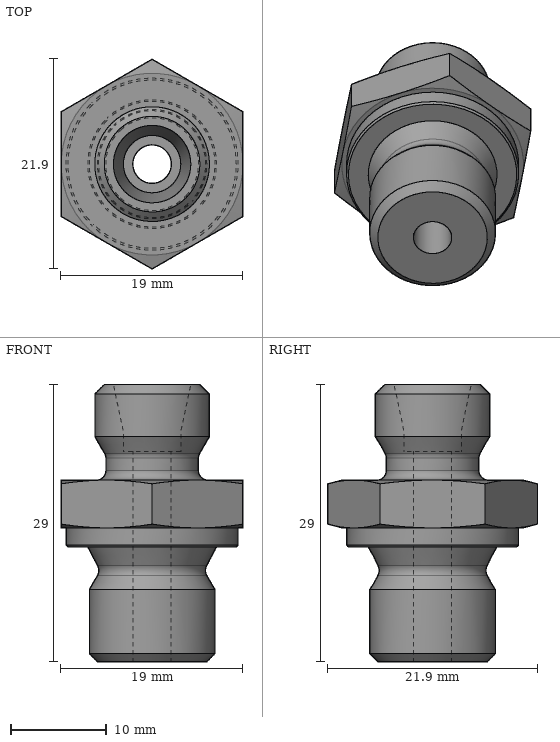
import cadquery as cq
import math

total_height = 29.0
hex_thickness = 5.0
hex_bottom = 14.0
hex_top = hex_bottom + hex_thickness
collar_thickness = 2.0
collar_bottom = hex_bottom - collar_thickness

hex_sides = 6
hex_turn = 180 / hex_sides
across_flats = 19.0
across_corners = across_flats / math.cos(math.radians(hex_turn))
hex_chamfer_angle = math.radians(15)
hex_chamfer_drop = (across_corners - across_flats) / 2 * math.tan(hex_chamfer_angle)

collar_radius = 18.0 / 2
collar_edge_chamfer = 0.2

undercut_angle = math.radians(30)
undercut_slope = math.tan(undercut_angle)

blend_radius = 1.0
blend_height = blend_radius * math.sin(undercut_angle)
blend_rise = blend_radius * (1 - math.cos(undercut_angle))
half_blend_height = blend_radius * math.sin(undercut_angle / 2)
half_blend_rise = blend_radius * (1 - math.cos(undercut_angle / 2))

upper_radius = 12.0 / 2
upper_chamfer = 1.0
upper_neck_radius = 9.7 / 2
upper_thread_end = 23.55

lower_radius = 13.16 / 2
lower_chamfer = 0.86
lower_thread_end = 7.55

lower_arc_radius = 1.1
lower_arc_start = 9.0
collar_cone_angle = math.radians(27.5)

bore_radius = 4.0 / 2
socket_radius = 6.0 / 2
socket_depth = 7.0
seat_mouth_radius = 8.1 / 2
seat_half_angle = math.radians(12)
seat_depth = (seat_mouth_radius - socket_radius) / math.tan(seat_half_angle)


def turned(profile):
    """Revolve a closed half profile in the XZ plane a full turn about Z."""
    return profile.revolve(360, (0, 0, 0), (0, 1, 0))


def lower_stud_and_collar():
    """Revolve the lower stud, its undercut and the collar."""
    arc_start_radius = lower_radius - (lower_arc_start - lower_thread_end) * undercut_slope
    neck_radius = arc_start_radius - lower_arc_radius * (1 - math.cos(undercut_angle))
    neck_height = lower_arc_start + lower_arc_radius * math.sin(undercut_angle)
    arc_end_radius = neck_radius + lower_arc_radius * (1 - math.cos(collar_cone_angle))
    arc_end = neck_height + lower_arc_radius * math.sin(collar_cone_angle)
    cone_top_radius = arc_end_radius + (collar_bottom - arc_end) * math.tan(collar_cone_angle)
    profile = (
        cq.Workplane("XZ")
        .moveTo(0, 0)
        .lineTo(lower_radius - lower_chamfer, 0)
        .lineTo(lower_radius, lower_chamfer)
        .lineTo(lower_radius, lower_thread_end)
        .lineTo(arc_start_radius, lower_arc_start)
        .threePointArc((neck_radius, neck_height), (arc_end_radius, arc_end))
        .lineTo(cone_top_radius, collar_bottom)
        .lineTo(collar_radius - collar_edge_chamfer, collar_bottom)
        .lineTo(collar_radius, collar_bottom + collar_edge_chamfer)
        .lineTo(collar_radius, hex_bottom)
        .lineTo(0, hex_bottom)
        .close()
    )
    return turned(profile)


def upper_stud():
    """Revolve the upper stud, its undercut and the root fillet on the hexagon."""
    blend_edge_radius = upper_neck_radius + blend_rise
    blend_top = upper_thread_end - (upper_radius - blend_edge_radius) / undercut_slope
    blend_bottom = blend_top - blend_height
    blend_middle = (upper_neck_radius + half_blend_rise, blend_bottom + half_blend_height)
    fillet_offset = blend_radius * (1 - math.sqrt(0.5))
    fillet_middle = (upper_neck_radius + fillet_offset, hex_top + fillet_offset)
    profile = (
        cq.Workplane("XZ")
        .moveTo(0, hex_top)
        .lineTo(upper_neck_radius + blend_radius, hex_top)
        .threePointArc(fillet_middle, (upper_neck_radius, hex_top + blend_radius))
        .lineTo(upper_neck_radius, blend_bottom)
        .threePointArc(blend_middle, (blend_edge_radius, blend_top))
        .lineTo(upper_radius, upper_thread_end)
        .lineTo(upper_radius, total_height - upper_chamfer)
        .lineTo(upper_radius - upper_chamfer, total_height)
        .lineTo(0, total_height)
        .close()
    )
    return turned(profile)


def hexagon():
    """Hexagonal prism with its corners turned off conically at both ends."""
    prism = (
        cq.Workplane("XY")
        .workplane(offset=hex_bottom)
        .polygon(hex_sides, across_corners)
        .extrude(hex_thickness)
        .rotate((0, 0, 0), (0, 0, 1), hex_turn)
    )
    flat_radius = across_flats / 2
    corner_radius = across_corners / 2
    envelope = (
        cq.Workplane("XZ")
        .moveTo(0, hex_bottom)
        .lineTo(flat_radius, hex_bottom)
        .lineTo(corner_radius, hex_bottom + hex_chamfer_drop)
        .lineTo(corner_radius, hex_top - hex_chamfer_drop)
        .lineTo(flat_radius, hex_top)
        .lineTo(0, hex_top)
        .close()
    )
    return prism.intersect(turned(envelope))


def bore():
    """Through bore widening into the tube socket and its conical seat."""
    socket_floor = total_height - socket_depth
    profile = (
        cq.Workplane("XZ")
        .moveTo(0, 0)
        .lineTo(bore_radius, 0)
        .lineTo(bore_radius, socket_floor)
        .lineTo(socket_radius, socket_floor)
        .lineTo(socket_radius, total_height - seat_depth)
        .lineTo(seat_mouth_radius, total_height)
        .lineTo(0, total_height)
        .close()
    )
    return turned(profile)


result = hexagon().union(lower_stud_and_collar()).union(upper_stud()).cut(bore())